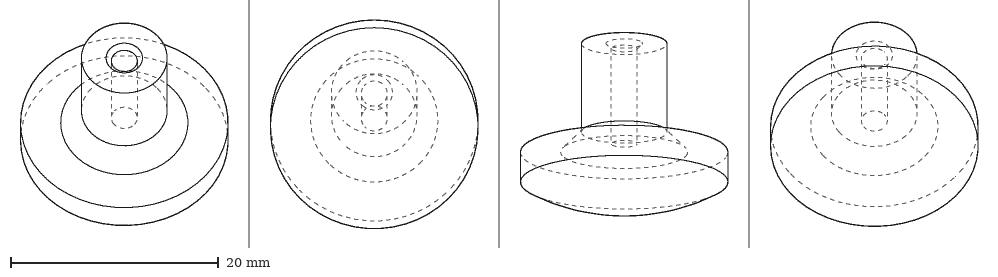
import cadquery as cq

total_height = 16.5
disc_diameter = 20.0
disc_thickness = 3.0
dome_radius = 20.0
stem_diameter = 8.25
collar_size = 2.0
hole_diameter = 2.5
hole_depth = 10.0
hole_chamfer = 0.5

disc_radius = disc_diameter / 2
stem_radius = stem_diameter / 2
hole_radius = hole_diameter / 2
collar_radius = stem_radius + collar_size


def dome_height_at(radius):
    """Height of the spherical underside at a distance from the axis."""
    return dome_radius - (dome_radius**2 - radius**2) ** 0.5


disc_bottom = dome_height_at(disc_radius)
disc_top = disc_bottom + disc_thickness
collar_top = disc_top + collar_size


def make_body():
    """Domed disc, conical collar and stem, turned about the Z axis."""
    dome_mid_radius = disc_radius / 2
    return (
        cq.Workplane("XZ")
        .moveTo(0, 0)
        .threePointArc(
            (dome_mid_radius, dome_height_at(dome_mid_radius)),
            (disc_radius, disc_bottom),
        )
        .lineTo(disc_radius, disc_top)
        .lineTo(collar_radius, disc_top)
        .lineTo(stem_radius, collar_top)
        .lineTo(stem_radius, total_height)
        .lineTo(0, total_height)
        .close()
        .revolve(360, (0, 0, 0), (0, 1, 0))
    )


def make_hole():
    """Blind flat-bottomed hole with a chamfered mouth in the stem's end."""
    hole_bottom = total_height - hole_depth
    return (
        cq.Workplane("XZ")
        .moveTo(0, hole_bottom)
        .lineTo(hole_radius, hole_bottom)
        .lineTo(hole_radius, total_height - hole_chamfer)
        .lineTo(hole_radius + hole_chamfer, total_height)
        .lineTo(0, total_height)
        .close()
        .revolve(360, (0, 0, 0), (0, 1, 0))
    )


result = make_body().cut(make_hole())